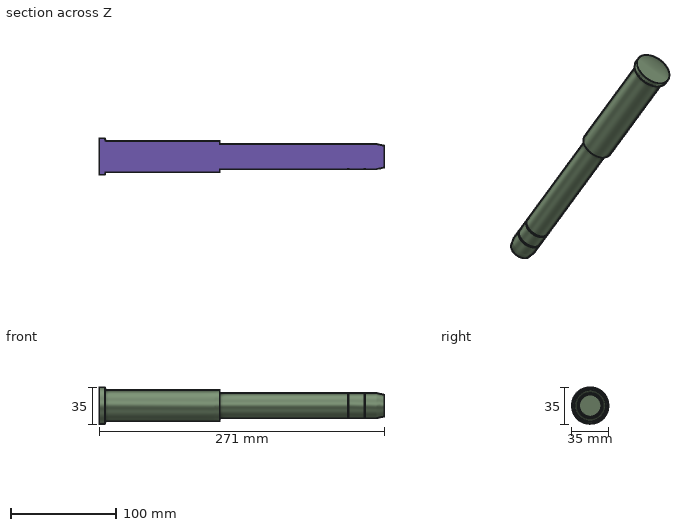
import cadquery as cq

total_length = 271.0

head_diameter = 35.0
head_length = 6.0
head_chamfer = 0.8

body_diameter = 30.0
body_end = 114.5
body_lead_length = 5.1
body_lead_diameter = 29.8
root_fillet = 0.8

shaft_diameter = 24.0
tip_length = 7.3
tip_diameter = 21.0

groove_width = 1.0
groove_depth = 0.3
first_groove_start = 236.3
groove_spacing = 15.5
groove_count = 2


def cylinder(start, end, diameter):
    """Solid cylinder along X between two stations."""
    return cq.Workplane("YZ", origin=(start, 0, 0)).circle(diameter / 2).extrude(end - start)


def cone(start, end, start_diameter, end_diameter):
    """Solid truncated cone along X between two stations."""
    profile = [(start, 0), (start, start_diameter / 2), (end, end_diameter / 2), (end, 0)]
    return cq.Workplane("XY").polyline(profile).close().revolve(360, (0, 0, 0), (1, 0, 0))


def root(station, diameter):
    """Concave fillet where a cylinder meets the shoulder behind it."""
    radius = diameter / 2
    return (
        cq.Workplane("XY")
        .moveTo(station, 0)
        .lineTo(station, radius + root_fillet)
        .radiusArc((station + root_fillet, radius), -root_fillet)
        .lineTo(station + root_fillet, 0)
        .close()
        .revolve(360, (0, 0, 0), (1, 0, 0))
    )


def groove(start):
    """Ring to remove from the shaft surface."""
    ring = cylinder(start, start + groove_width, shaft_diameter)
    return ring.cut(cylinder(start, start + groove_width, shaft_diameter - 2 * groove_depth))


head = cylinder(0, head_length, head_diameter).faces(">X").edges().chamfer(head_chamfer)

lead_start = body_end - body_lead_length
body = cylinder(head_length, lead_start, body_diameter)
body_lead = cone(lead_start, body_end, body_diameter, body_lead_diameter)

tip_start = total_length - tip_length
shaft = cylinder(body_end, tip_start, shaft_diameter)
tip = cone(tip_start, total_length, shaft_diameter, tip_diameter)

result = head.union(body).union(body_lead).union(shaft).union(tip)
result = result.union(root(head_length, body_diameter)).union(root(body_end, shaft_diameter))

for index in range(groove_count):
    result = result.cut(groove(first_groove_start + index * groove_spacing))